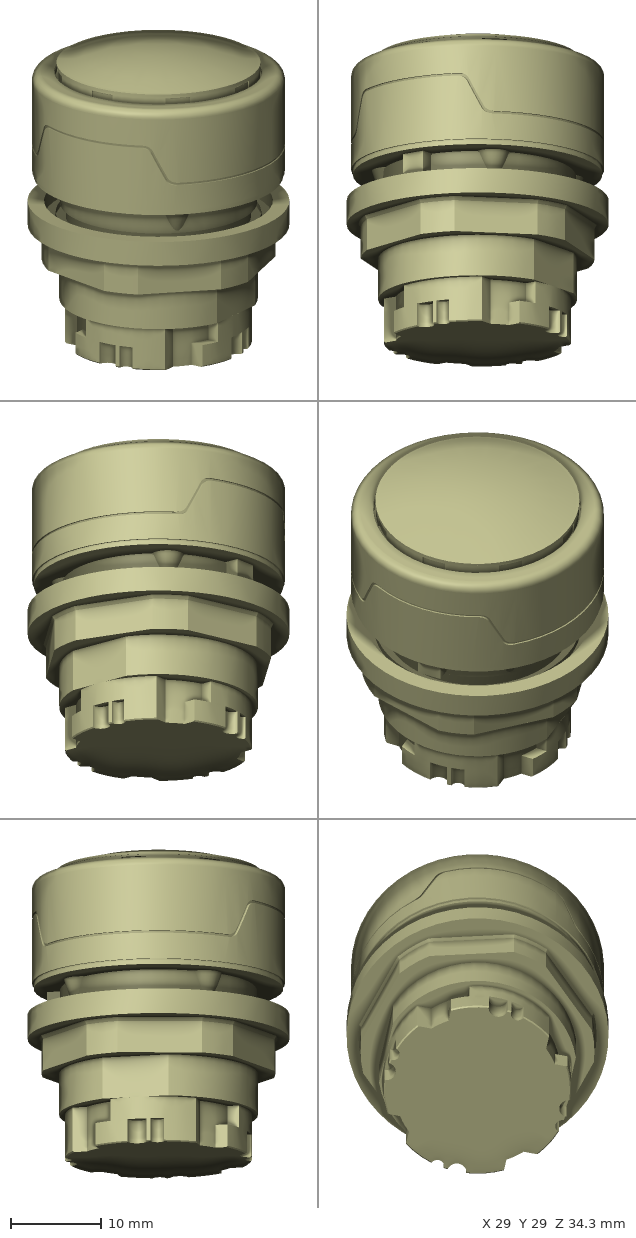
import cadquery as cq
import math

mount_step_top = 2.57
mount_top = 5.05
body_top = 9.67
nut_top = 13.2
flange_bottom = 13.6
flange_top = 16.4
neck_top = 19.15
cap_bottom = 19.3
lip_top = 19.9
cap_top = 31.48
rim_bottom = 32.25
rim_top = 32.55
button_top = 34.3

mount_diameter = 20.75
mount_chamfer = 0.15
quarter_turns = (0, 90, 180, 270)
channel_floor_radius = 9.15
channel_wall_y = -6.38
channel_low_x = -4.9
channel_high_x = -3.0
scoop_sizes = ((0.9, 1.05), (13.5, 0.75))

body_diameter = 22.0
body_flat_width = 20.68
nut_corner_diameter = 25.9
nut_across_flats = 24.15
nut_turn = 15.0
nut_flare = 0.25
flange_diameter = 29.0
flange_groove_diameter = 25.35
flange_groove_floor = 14.55
groove_lip_diameter = 22.9
groove_lip_bore = 22.7
groove_lip_top = 15.22

neck_diameter = 21.85
neck_foot_diameter = 20.5
neck_bottom = 16.2
neck_recess_diameter = 21.57
bump_count = 4
bump_start_angle = 45
bump_bottom = 16.45
bump_axis_radius = 9.95
bump_top_radius = 1.92
key_width = 2.75
key_reach = 12.38
key_bottom = 16.6

cap_diameter = 28.0
lip_diameter = 27.65
cap_fillet = 0.95
cap_bore_diameter = 22.9
cap_bore_depth = 0.7
cap_bore_chamfer = 0.1
seam_floor_diameter = 27.65
seam_width = 0.27
seam_high = 27.3
seam_low = 22.95
seam_high_half_width = 6.93
seam_low_half_width = 8.8
seam_corner_radius = 1.03

rim_diameter = 22.6
dome_diameter = 22.0
dome_edge_height = 32.6
stem_diameter = 22.5
window_count = 8
window_width = 2.78
window_top = 32.05
window_depth = 0.17
latch_top = 31.92
latch_gap_depth = 0.4


def cylinder(diameter, bottom, top):
    return cq.Workplane("XY").workplane(offset=bottom).circle(diameter / 2).extrude(top - bottom)


def box(x_range, y_range, z_range):
    """Box spanning the given (low, high) ranges."""
    size = [high - low for low, high in (x_range, y_range, z_range)]
    corner = (x_range[0], y_range[0], z_range[0])
    return cq.Workplane("XY").box(*size, centered=False).translate(corner)


def turned(shape, angle):
    return shape.rotate((0, 0, 0), (0, 0, 1), angle)


def bayonet_mount():
    """Ring with four L-shaped bayonet channels and pairs of round scoops, one set per quarter."""
    ring = cylinder(mount_diameter, 0, mount_top).faces("<Z").edges().chamfer(mount_chamfer)
    outside = -mount_diameter
    entry = box((outside, channel_low_x), (outside, channel_wall_y), (0, mount_top))
    hook = box((channel_low_x, channel_high_x), (outside, channel_wall_y), (mount_step_top, mount_top))
    channel = entry.union(hook).cut(cylinder(2 * channel_floor_radius, 0, mount_top))
    for quarter_turn in quarter_turns:
        ring = ring.cut(turned(channel, quarter_turn))
        for angle, radius in scoop_sizes:
            scoop = cylinder(2 * radius, 0, mount_step_top).translate((0, -mount_diameter / 2, 0))
            ring = ring.cut(turned(scoop, angle + quarter_turn))
    return ring


def body():
    """Round body with a flat on each X side."""
    half_width = body_flat_width / 2
    flats = box((-half_width, half_width), (-body_diameter, body_diameter), (mount_top, body_top))
    return cylinder(body_diameter, mount_top, body_top).intersect(flats)


def nut():
    """Hexagon with rounded corners, flaring out into the flange."""
    hexagon = (
        cq.Workplane("XY").workplane(offset=body_top)
        .polygon(6, nut_across_flats / math.cos(math.pi / 6))
        .extrude(nut_top - body_top)
    )
    hexagon = turned(hexagon, -nut_turn).intersect(cylinder(nut_corner_diameter, body_top, nut_top))
    flare_height = flange_bottom - nut_top
    flare_taper = math.degrees(math.atan2(nut_flare, flare_height))
    outline = hexagon.faces(">Z").wires().toPending()
    flare = outline.extrude(flare_height, taper=-flare_taper, combine=False)
    return hexagon.union(flare)


def flange():
    """Disc with a groove around the neck and a thin round lip standing in the groove."""
    groove = cylinder(flange_groove_diameter, flange_groove_floor, flange_top)
    lip = cylinder(groove_lip_diameter, flange_groove_floor, groove_lip_top)
    lip = lip.cut(cylinder(groove_lip_bore, flange_groove_floor, groove_lip_top))
    return cylinder(flange_diameter, flange_bottom, flange_top).cut(groove).union(lip)


def neck():
    """Column with four cone-shaped bumps on the diagonals and a key on the +Y side."""
    column = cylinder(neck_foot_diameter, flange_bottom, neck_bottom)
    column = column.union(cylinder(neck_diameter, neck_bottom, neck_top))
    column = column.union(cylinder(neck_recess_diameter, neck_top, lip_top))
    bump_bottom_radius = neck_diameter / 2 - bump_axis_radius
    bump = cq.Workplane(cq.Solid.makeCone(
        bump_bottom_radius, bump_top_radius, cap_bottom - bump_bottom,
        cq.Vector(bump_axis_radius, 0, bump_bottom)))
    for index in range(bump_count):
        column = column.union(turned(bump, bump_start_angle + 360 / bump_count * index))
    key = box((-key_width / 2, key_width / 2), (0, key_reach), (key_bottom, cap_bottom))
    return column.union(key)


def below_seam(offset):
    """Block filling everything under the seam line, grown outwards by the offset."""
    reach = cap_diameter
    block = (
        cq.Workplane("XZ")
        .moveTo(-reach, seam_low)
        .lineTo(-seam_low_half_width, seam_low)
        .lineTo(-seam_high_half_width, seam_high)
        .lineTo(seam_high_half_width, seam_high)
        .lineTo(seam_low_half_width, seam_low)
        .lineTo(reach, seam_low)
        .lineTo(reach, 0)
        .lineTo(-reach, 0)
        .close()
        .offset2D(offset, "intersection")
        .extrude(reach, both=True)
    )
    bends = cq.selectors.BoxSelector(
        (-cap_diameter / 2, -reach, neck_top), (cap_diameter / 2, reach, cap_top))
    return block.edges("|Y").edges(bends).fillet(seam_corner_radius)


def cap_seam():
    """Thin groove round the cap, high on the Y sides and low on the X sides."""
    band = below_seam(seam_width / 2).cut(below_seam(-seam_width / 2))
    shell = cylinder(cap_diameter, cap_bottom, cap_top)
    shell = shell.cut(cylinder(seam_floor_diameter, cap_bottom, cap_top))
    return band.intersect(shell)


def cap():
    shell = cylinder(cap_diameter, lip_top, cap_top).faces(">Z").edges().fillet(cap_fillet)
    shell = shell.union(cylinder(lip_diameter, cap_bottom, lip_top))
    bore = cylinder(cap_bore_diameter, cap_top - cap_bore_depth, cap_top)
    mouth = cq.Workplane(cq.Solid.makeCone(
        cap_bore_diameter / 2, cap_bore_diameter / 2 + cap_bore_chamfer, cap_bore_chamfer,
        cq.Vector(0, 0, cap_top - cap_bore_chamfer)))
    return shell.cut(bore).cut(mouth).cut(cap_seam())


def stem_window(depth, bottom, top):
    """Recess of even depth in the -Y side of the stem."""
    opening = box((-window_width / 2, window_width / 2), (-rim_diameter, 0), (bottom, top))
    return opening.cut(cylinder(stem_diameter - 2 * depth, bottom, top))


def button():
    """Domed button on a narrower stem; a latch fills each stem window up to a thin gap."""
    base = cap_top - cap_bore_depth
    dome_rise = button_top - dome_edge_height
    dome_radius = ((dome_diameter / 2) ** 2 + dome_rise ** 2) / (2 * dome_rise)
    middle_x = dome_diameter / 4
    middle_z = button_top - dome_radius + math.sqrt(dome_radius ** 2 - middle_x ** 2)
    shape = (
        cq.Workplane("XZ")
        .moveTo(0, base)
        .lineTo(stem_diameter / 2, base)
        .lineTo(stem_diameter / 2, rim_bottom)
        .lineTo(rim_diameter / 2, rim_bottom)
        .lineTo(rim_diameter / 2, rim_top)
        .lineTo(dome_diameter / 2, dome_edge_height)
        .threePointArc((middle_x, middle_z), (0, button_top))
        .close()
        .revolve(360, (0, 0, 0), (0, 1, 0))
    )
    window = stem_window(window_depth, base, latch_top)
    window = window.union(stem_window(latch_gap_depth, latch_top, window_top))
    for index in range(window_count):
        shape = shape.cut(turned(window, 360 / window_count * index))
    return shape


result = bayonet_mount()
for piece in (body(), nut(), flange(), neck(), cap(), button()):
    result = result.union(piece)